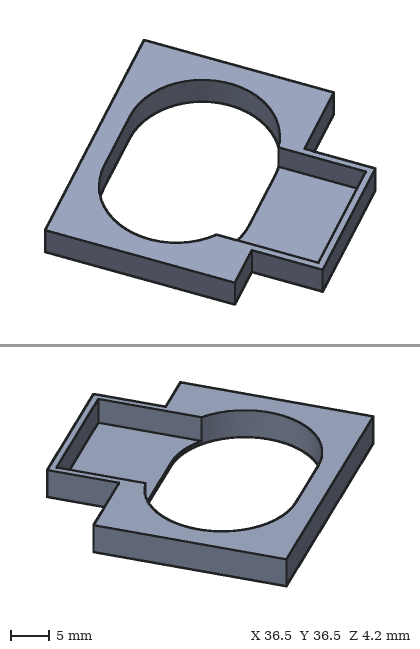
import cadquery as cq

total_length = 36.5
frame_length = 26.57
frame_width = 36.5
height = 4.2

opening_length = 20.3
opening_width = 29.82

tab_width = 19.45
tab_start_y = 6.25
wall = 1.0
floor_thickness = 0.5

frame_center_x = frame_length / 2
frame_center_y = frame_width / 2
tab_center_y = tab_start_y + tab_width / 2


def block(start_x, end_x, center_y, width, bottom_z):
    """Box from start_x to end_x, rising from bottom_z to the top face."""
    return cq.Workplane("XY").box(
        end_x - start_x, width, height - bottom_z, centered=(False, True, False)
    ).translate((start_x, center_y, bottom_z))


frame = block(0, frame_length, frame_center_y, frame_width, 0)
tab = block(frame_center_x, total_length, tab_center_y, tab_width, 0)

opening = (
    cq.Workplane("XY")
    .center(frame_center_x, frame_center_y)
    .slot2D(opening_width, opening_length, angle=90)
    .extrude(height)
)

pocket = block(
    frame_center_x, total_length - wall, tab_center_y, tab_width - 2 * wall, floor_thickness
)

result = frame.union(tab).cut(opening).cut(pocket)